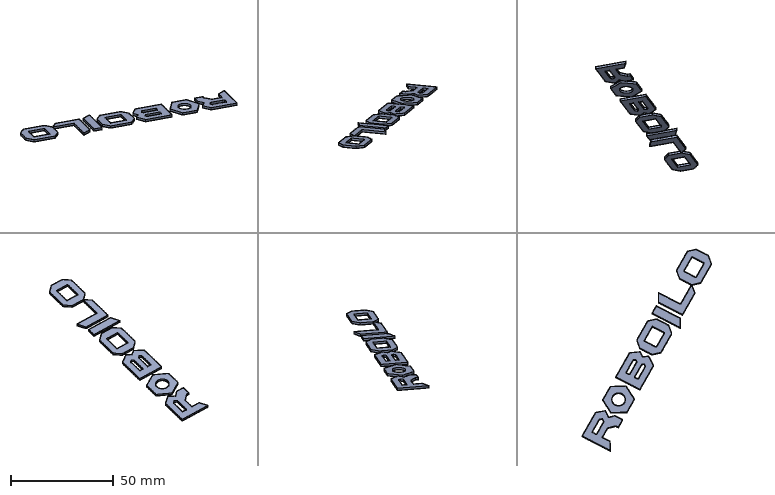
import cadquery as cq
import math

TOTAL_LENGTH = 111.1
TOTAL_WIDTH = 18.2
THICKNESS = 1.2
WIDTH = 13.5
MIDDLE = WIDTH / 2
HEIGHT = 17.1
BAR = 4.3
STROKE = 3.3
SLANT = (TOTAL_WIDTH - WIDTH) / 2

LETTER_GAP = 1.6
B_TOP = -34.6
HEXAGON_CENTER = -25.1
FIRST_O_TOP = B_TOP - HEIGHT - LETTER_GAP
I_TOP = FIRST_O_TOP - HEIGHT - LETTER_GAP
L_TOP = -78.4
LAST_O_TOP = HEIGHT - TOTAL_LENGTH

R_HEIGHT = 16.9
R_BAR = 4.1
R_STEM_LEFT = 4.5
R_NOTCH_CORNER = 9.6
R_FOOT_TOP = 12.5
R_FOOT_SHOULDER = 1.5
R_FOOT_RIGHT = 4.2
R_VALLEY = (6.6, -14.7)
R_BOWL_TIP = 9.6
R_SIDE = 13.8
R_SLOT_LEFT = 7.7
R_SLOT_SHOULDER = 11.7

HOLE_DIAMETER = 6.6

B_SIDE = 14.1
B_BOWL_TIP = 4.3
B_VALLEY = 15.5
B_SLOT_WIDTH = 2.0
B_SLOT_SHOULDER = 11.9
SLOT_TIP = 12.6

CORNER_HEIGHT = 3.0

JOINT = 0.1
L_STEM = STROKE + JOINT
L_STEM_TIP = LAST_O_TOP - JOINT
L_STEM_CORNER = L_STEM_TIP + CORNER_HEIGHT


def plate(points):
    """Plate of full thickness with the given straight-sided outline."""
    return cq.Workplane("XY").polyline(points).close().extrude(THICKNESS)


def pointed_slot(left, right, top, shoulder):
    """Cutter for a slot that ends in a point at its lower end."""
    return plate([
        (left, -top),
        (right, -top),
        (right, -shoulder),
        ((left + right) / 2, -SLOT_TIP),
        (left, -shoulder),
    ])


def make_r():
    outline = plate([
        (-SLANT, 0),
        (WIDTH, 0),
        (WIDTH, -R_SIDE),
        (R_BOWL_TIP, -R_HEIGHT),
        R_VALLEY,
        (R_FOOT_RIGHT, -R_HEIGHT),
        (0, -R_HEIGHT),
        (0, -R_FOOT_TOP),
        (R_FOOT_SHOULDER, -R_FOOT_TOP),
        (R_STEM_LEFT, -R_NOTCH_CORNER),
        (R_STEM_LEFT, -R_BAR),
        (0, -R_BAR),
    ])
    return outline.cut(pointed_slot(R_SLOT_LEFT, WIDTH - STROKE, R_BAR, R_SLOT_SHOULDER))


def make_hexagon_o():
    radius = MIDDLE / math.cos(math.pi / 6)
    corner_angles = [math.radians(30 + 60 * i) for i in range(6)]
    corners = [
        (MIDDLE + radius * math.cos(angle), HEXAGON_CENTER + radius * math.sin(angle))
        for angle in corner_angles
    ]
    hole = cq.Workplane("XY").center(MIDDLE, HEXAGON_CENTER).circle(HOLE_DIAMETER / 2).extrude(THICKNESS)
    return plate(corners).cut(hole)


def make_b():
    letter = plate([
        (0, 0),
        (WIDTH, 0),
        (WIDTH, -B_SIDE),
        (WIDTH - B_BOWL_TIP, -HEIGHT),
        (MIDDLE, -B_VALLEY),
        (B_BOWL_TIP, -HEIGHT),
        (0, -B_SIDE),
    ])
    for left in (STROKE, WIDTH - STROKE - B_SLOT_WIDTH):
        letter = letter.cut(pointed_slot(left, left + B_SLOT_WIDTH, BAR, B_SLOT_SHOULDER))
    return letter.translate((0, B_TOP, 0))


def make_octagon_o(top):
    outline = plate([
        (STROKE, 0),
        (WIDTH - STROKE, 0),
        (WIDTH, -CORNER_HEIGHT),
        (WIDTH, CORNER_HEIGHT - HEIGHT),
        (WIDTH - STROKE, -HEIGHT),
        (STROKE, -HEIGHT),
        (0, CORNER_HEIGHT - HEIGHT),
        (0, -CORNER_HEIGHT),
    ])
    opening = plate([
        (STROKE, -BAR),
        (WIDTH - STROKE, -BAR),
        (WIDTH - STROKE, BAR - HEIGHT),
        (STROKE, BAR - HEIGHT),
    ])
    return outline.cut(opening).translate((0, top, 0))


def make_i():
    return plate([
        (-SLANT, I_TOP),
        (WIDTH, I_TOP),
        (WIDTH, I_TOP - BAR),
        (0, I_TOP - BAR),
    ])


def make_l_and_last_o():
    """The L and the last O are one body, joined at the tip of the L's stem."""
    letter_l = plate([
        (0, L_TOP),
        (WIDTH, L_TOP),
        (WIDTH + SLANT, L_TOP - BAR),
        (L_STEM, L_TOP - BAR),
        (L_STEM, L_STEM_TIP),
        (0, L_STEM_CORNER),
    ])
    return letter_l.union(make_octagon_o(LAST_O_TOP))


letter_r = make_r()
hexagon_o = make_hexagon_o()
letter_b = make_b()
first_o = make_octagon_o(FIRST_O_TOP)
letter_i = make_i()
l_and_last_o = make_l_and_last_o()

result = cq.Compound.makeCompound([
    letter_r.val(),
    hexagon_o.val(),
    letter_b.val(),
    first_o.val(),
    letter_i.val(),
    *l_and_last_o.vals(),
])